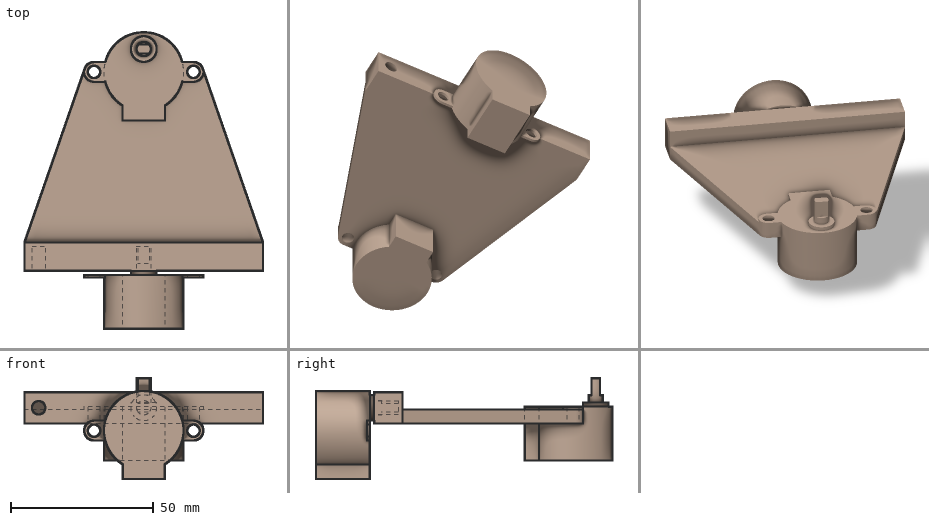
import cadquery as cq
import math

can_diameter = 28.0
can_height = 19.0
cable_box_width = 14.8
cable_box_reach = 17.0
lug_width = 7.0
lug_spacing = 35.0
lug_thickness = 0.9
screw_hole_diameter = 4.3
shaft_offset = 8.0
boss_diameter = 9.1
boss_height = 1.5
shaft_diameter = 5.0
shaft_flat_width = 3.0
shaft_length = 10.0
shaft_flat_length = 6.0

beam_length = 84.0
beam_depth = 10.0
beam_height = 11.1
plate_thickness = 5.0
beam_hole_diameter = 4.7
beam_hole_depth = shaft_length - boss_height
beam_hole_inset = 5.0

can_radius = can_diameter / 2
lug_radius = lug_width / 2
lug_x = lug_spacing / 2
overall_length = 104.5
plate_top = -lug_thickness
plate_bottom = plate_top - plate_thickness
beam_middle_z = plate_bottom + beam_height / 2
front_can_face_y = can_radius - overall_length + can_height
beam_front_y = front_can_face_y + boss_height
beam_back_y = beam_front_y + beam_depth


def make_motor():
    """Motor with its can axis on Z, can face at Z = 0 and cable box toward -Y."""
    can = cq.Workplane("XY").circle(can_radius).extrude(-can_height)
    cable_box = (
        cq.Workplane("XY")
        .center(0, -cable_box_reach / 2)
        .rect(cable_box_width, cable_box_reach)
        .extrude(-can_height)
    )
    lugs = cq.Workplane("XY").slot2D(lug_spacing + lug_width, lug_width).extrude(-lug_thickness)
    screw_holes = (
        cq.Workplane("XY")
        .pushPoints([(-lug_x, 0), (lug_x, 0)])
        .circle(screw_hole_diameter / 2)
        .extrude(-lug_thickness)
    )
    shaft_base = cq.Workplane("XY").center(0, shaft_offset)
    boss = shaft_base.circle(boss_diameter / 2).extrude(boss_height)
    round_shaft = shaft_base.circle(shaft_diameter / 2).extrude(shaft_length - shaft_flat_length)
    flat_shaft = (
        shaft_base.circle(shaft_diameter / 2)
        .extrude(shaft_length)
        .intersect(shaft_base.rect(shaft_diameter, shaft_flat_width).extrude(shaft_length))
    )
    motor = can.union(cable_box).union(lugs.cut(screw_holes))
    return motor.union(boss).union(round_shaft).union(flat_shaft)


def make_plate():
    """Tapered plate whose sides run tangent from the lug arcs to the beam's back corners."""
    corner_x = beam_length / 2
    run_x = corner_x - lug_x
    run_y = -beam_back_y
    corner_distance = math.hypot(run_x, run_y)
    tangent_angle = math.acos(lug_radius / corner_distance) - math.atan2(run_y, run_x)
    tangent_x = lug_x + lug_radius * math.cos(tangent_angle)
    tangent_y = lug_radius * math.sin(tangent_angle)
    middle_angle = (tangent_angle + math.pi / 2) / 2
    arc_x = lug_x + lug_radius * math.cos(middle_angle)
    arc_y = lug_radius * math.sin(middle_angle)
    return (
        cq.Workplane("XY", origin=(0, 0, plate_bottom))
        .moveTo(-corner_x, beam_back_y)
        .lineTo(corner_x, beam_back_y)
        .lineTo(tangent_x, tangent_y)
        .threePointArc((arc_x, arc_y), (lug_x, lug_radius))
        .lineTo(-lug_x, lug_radius)
        .threePointArc((-arc_x, arc_y), (-tangent_x, tangent_y))
        .close()
        .extrude(plate_thickness)
    )


def make_beam():
    """Cross beam with a blind round hole in its front face near the left end."""
    beam = cq.Workplane("XY").box(beam_length, beam_depth, beam_height)
    hole = (
        cq.Workplane("XZ", origin=(beam_hole_inset - beam_length / 2, -beam_depth / 2, 0))
        .circle(beam_hole_diameter / 2)
        .extrude(-beam_hole_depth)
    )
    return beam.cut(hole).translate((0, beam_front_y + beam_depth / 2, beam_middle_z))


def make_bracket(motors):
    """Plate and beam in one piece, with screw holes and a matching seat for each motor."""
    bracket = make_plate().union(make_beam())
    screw_holes = (
        cq.Workplane("XY", origin=(0, 0, plate_bottom))
        .pushPoints([(-lug_x, 0), (lug_x, 0)])
        .circle(screw_hole_diameter / 2)
        .extrude(plate_thickness)
    )
    bracket = bracket.cut(screw_holes)
    for motor in motors:
        bracket = bracket.cut(motor)
    return bracket


def face_motor_to_beam(motor):
    """Lay the motor down, shaft toward +Y and centred on the beam height, cable box down."""
    laid_down = motor.rotate((0, 0, 0), (0, 0, 1), 180).rotate((0, 0, 0), (1, 0, 0), -90)
    return laid_down.translate((0, front_can_face_y, beam_middle_z - shaft_offset))


upright_motor = make_motor()
front_motor = face_motor_to_beam(make_motor())
motors = [upright_motor, front_motor]
bracket = make_bracket(motors)

result = cq.Compound.makeCompound([bracket.solids().val(), *[motor.solids().val() for motor in motors]])